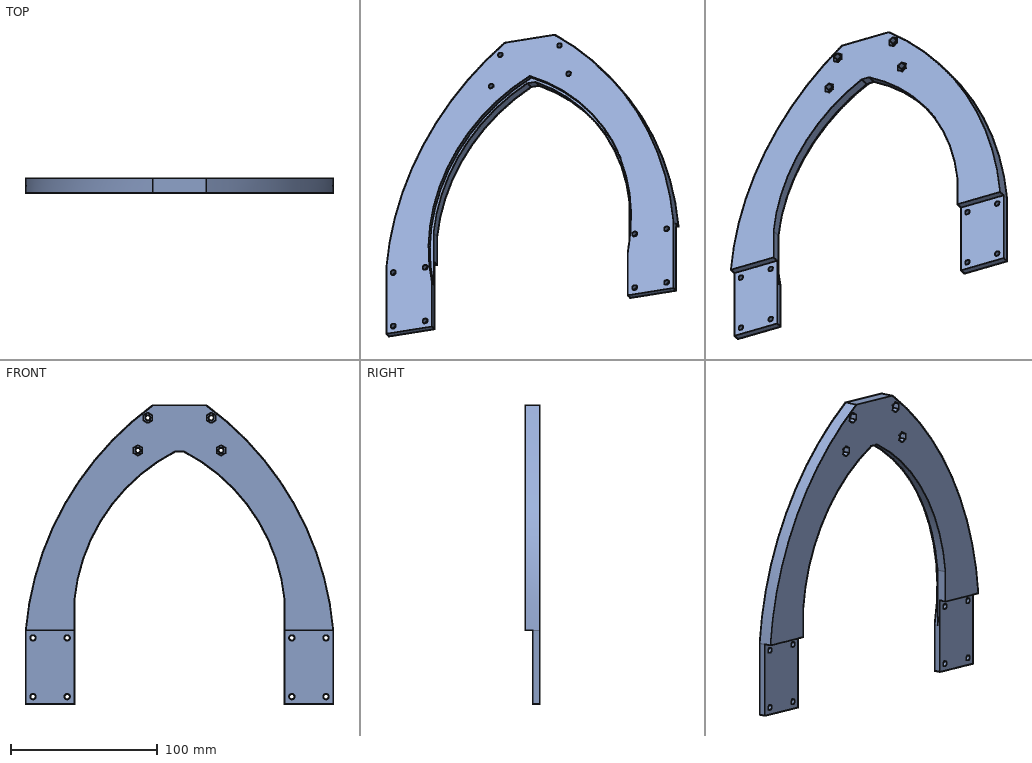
import cadquery as cq
import math

width = 210.0
height = 204.0
thickness = 10.0

leg_width = 33.4
pad_height = 50.2
pad_thickness = thickness / 2
pad_hole_diameter = 3.5
pad_hole_inset = 5.0

crown_half_width = 18.3
outer_arc_mid = (78.5, 136.0)

inner_arc_radius = 127.9
inner_arc_center_offset = 55.6
inner_arc_center_height = 58.5
apex_half_width = 3.0

rebate_width = 2.0
rebate_depth = 3.0

crown_holes = [(21.6, 195.3), (28.4, 173.0)]
crown_hole_diameter = 3.4
nut_across_flats = 6.0
nut_across_corners = nut_across_flats / math.cos(math.radians(30))
nut_turn = 30
nut_pocket_depth = thickness / 2

half_width = width / 2
inner_half_width = half_width - leg_width


def mirrored(point):
    """The matching point on the -X side."""
    return (-point[0], point[1])


def inner_arc_point(x):
    """Point at x on the inner arc of the +X side."""
    run = x + inner_arc_center_offset
    return (x, inner_arc_center_height + math.sqrt(inner_arc_radius**2 - run**2))


def cylinders(points, diameter, depth):
    """Cylinders running from the front face (Y = 0) toward +Y."""
    return cq.Workplane("XZ").pushPoints(points).circle(diameter / 2).extrude(-depth)


def arch():
    """Full-thickness arch, front face at Y = 0."""
    outer_start = (half_width, pad_height)
    crown_corner = (crown_half_width, height)
    inner_arc_start = inner_arc_point(inner_half_width)
    inner_arc_mid = inner_arc_point((inner_half_width + apex_half_width) / 2)
    apex_corner = inner_arc_point(apex_half_width)
    return (
        cq.Workplane("XZ")
        .moveTo(half_width, 0)
        .lineTo(*outer_start)
        .threePointArc(outer_arc_mid, crown_corner)
        .lineTo(*mirrored(crown_corner))
        .threePointArc(mirrored(outer_arc_mid), mirrored(outer_start))
        .lineTo(-half_width, 0)
        .lineTo(-inner_half_width, 0)
        .lineTo(*mirrored(inner_arc_start))
        .threePointArc(mirrored(inner_arc_mid), mirrored(apex_corner))
        .lineTo(*apex_corner)
        .threePointArc(inner_arc_mid, inner_arc_start)
        .lineTo(inner_half_width, 0)
        .close()
        .extrude(-thickness)
    )


def pad_relief():
    """Material removed from the front of both feet to leave the thin pads."""
    return cq.Workplane("XY").box(
        width, thickness - pad_thickness, pad_height, centered=(True, False, False)
    )


def pad_holes():
    """Four through holes near the corners of each pad."""
    columns = (inner_half_width + pad_hole_inset, half_width - pad_hole_inset)
    rows = (pad_hole_inset, pad_height - pad_hole_inset)
    points = [(side * x, z) for side in (-1, 1) for x in columns for z in rows]
    return cylinders(points, pad_hole_diameter, thickness)


def crown_nut_holes():
    """Through holes in the crown with nut pockets, corners up and down, in the front face."""
    points = crown_holes + [mirrored(point) for point in crown_holes]
    holes = cylinders(points, crown_hole_diameter, thickness)
    for x, z in points:
        pocket = (
            cq.Workplane("XZ")
            .polygon(6, nut_across_corners)
            .extrude(-nut_pocket_depth)
            .rotate((0, 0, 0), (0, 1, 0), nut_turn)
            .translate((x, 0, z))
        )
        holes = holes.union(pocket)
    return holes


def back_rebate():
    """Pointed lens shared by two discs, one around each inner arc centre."""
    discs = [
        cq.Workplane("XZ", origin=(0, thickness, 0))
        .center(side * inner_arc_center_offset, inner_arc_center_height)
        .circle(inner_arc_radius + rebate_width)
        .extrude(rebate_depth)
        for side in (-1, 1)
    ]
    return discs[0].intersect(discs[1])


result = (
    arch()
    .cut(pad_relief())
    .cut(pad_holes())
    .cut(crown_nut_holes())
    .cut(back_rebate())
)